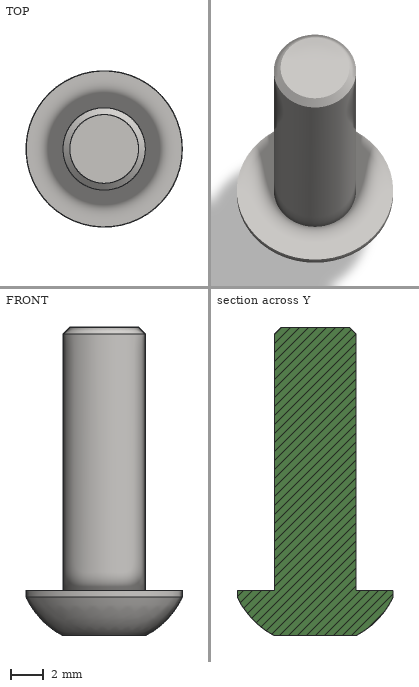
import cadquery as cq
import math

total_length = 18.75
shank_radius = 5.0 / 2
head_radius = 9.5 / 2
head_height = 2.75
rim_height = 0.41
tip_chamfer = 0.41
crown_flat_radius = 2.51
crown_bulge = 0.26

crown_height = head_height - rim_height
crown_width = head_radius - crown_flat_radius
chord = math.hypot(crown_width, crown_height)
arc_middle = (
    (head_radius + crown_flat_radius) / 2 + crown_bulge * crown_height / chord,
    crown_height / 2 - crown_bulge * crown_width / chord,
)

profile = (
    cq.Workplane("XZ")
    .lineTo(crown_flat_radius, 0)
    .threePointArc(arc_middle, (head_radius, crown_height))
    .lineTo(head_radius, head_height)
    .lineTo(shank_radius, head_height)
    .lineTo(shank_radius, total_length - tip_chamfer)
    .lineTo(shank_radius - tip_chamfer, total_length)
    .lineTo(0, total_length)
    .close()
)
result = profile.revolve(360, (0, 0, 0), (0, 1, 0))